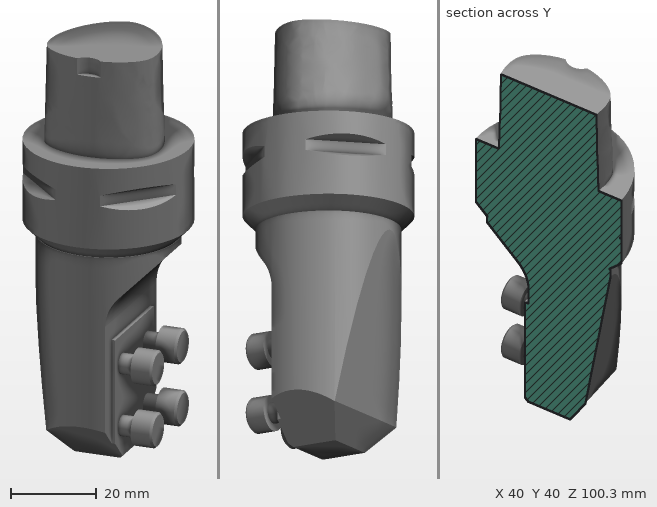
import cadquery as cq
import math

total_height = 100.3
collar_top = 76.4
collar_bottom = 56.4
neck_top = 53.2

collar_radius = 40.0 / 2
neck_radius = 34.0 / 2
cone_end_radius = collar_radius - (collar_bottom - neck_top)

shank_base_radius = 14.0
lobe_size = 1.0
taper_ratio = 1 / 40
shank_points = 48

notch_radius = 3.7
notch_centre_y = -14.5
notch_depth = 4.0

slot_height_z = 68.4
slot_floor_distance = 17.6
slot_floor_width = 2.6
slot_wall_slope = math.tan(math.radians(28))

back_slope_top = 50.7
heel_x = -10.1
heel_z = 7.2
tip_back_x = -5.9
seat_x = 5.6
relief_top = 51.5
relief_corner_radius = 10.0

tip_half_width = 6.5

plate_thickness = 0.9
plate_top = 31.3
plate_width = 24.1
screw_radius = 5.0 / 2
head_radius = 8.5 / 2
head_start_x = 10.3
head_end_x = 15.5
head_chamfer = 0.5
screw_heights = (8.6, 24.1)
screw_offset_y = 7.7


def lobed_point(angle, radius):
    """Point on the three-lobed outline, with one lobe towards +Y."""
    along = radius * math.cos(angle) - 2 * lobe_size * math.cos(2 * angle) + lobe_size * math.cos(4 * angle)
    across = radius * math.sin(angle) + 2 * lobe_size * math.sin(2 * angle) + lobe_size * math.sin(4 * angle)
    return across, -along


def lobed_wire(radius, height):
    points = [lobed_point(2 * math.pi * i / shank_points, radius) for i in range(shank_points)]
    edge = cq.Edge.makeSpline([cq.Vector(x, y, height) for x, y in points], periodic=True)
    return cq.Wire.assembleEdges([edge])


def make_shank():
    shank_top_radius = shank_base_radius - (total_height - collar_top) * taper_ratio
    wires = [lobed_wire(shank_base_radius, collar_top), lobed_wire(shank_top_radius, total_height)]
    notch = (
        cq.Workplane("XY", origin=(0, notch_centre_y, total_height - notch_depth))
        .circle(notch_radius)
        .extrude(notch_depth)
    )
    return cq.Workplane(cq.Solid.makeLoft(wires)).cut(notch)


def make_slot_cutter(angle):
    """Gripper slot with a flat floor and walls that flare outwards."""
    depth = collar_radius - slot_floor_distance
    floor_half = slot_floor_width / 2
    mouth_half = floor_half + depth * slot_wall_slope
    return (
        cq.Workplane("XZ")
        .moveTo(slot_floor_distance, slot_height_z - floor_half)
        .lineTo(collar_radius, slot_height_z - mouth_half)
        .lineTo(collar_radius, slot_height_z + mouth_half)
        .lineTo(slot_floor_distance, slot_height_z + floor_half)
        .close()
        .extrude(collar_radius, both=True)
        .rotate((0, 0, 0), (0, 0, 1), angle)
    )


def make_collar():
    collar = (
        cq.Workplane("XZ")
        .moveTo(0, collar_top)
        .lineTo(collar_radius, collar_top)
        .lineTo(collar_radius, collar_bottom)
        .lineTo(cone_end_radius, neck_top)
        .lineTo(0, neck_top)
        .close()
        .revolve(360, (0, 0, 0), (0, 1, 0))
    )
    for angle in (45, 135, 225, 315):
        collar = collar.cut(make_slot_cutter(angle))
    return collar


def make_neck():
    """Round neck trimmed by its side outline and by the two bottom bevels."""
    relief_corner_z = relief_top - (neck_radius - seat_x)
    tangent = relief_corner_radius * math.tan(math.radians(22.5))
    slope_step = tangent * math.sin(math.radians(45))
    side_outline = (
        cq.Workplane("XZ")
        .moveTo(-neck_radius, neck_top)
        .lineTo(-neck_radius, back_slope_top)
        .lineTo(heel_x, heel_z)
        .lineTo(tip_back_x, 0)
        .lineTo(seat_x, 0)
        .lineTo(seat_x, relief_corner_z - tangent)
        .radiusArc((seat_x + slope_step, relief_corner_z + slope_step), relief_corner_radius)
        .lineTo(neck_radius, relief_top)
        .lineTo(neck_radius, neck_top)
        .close()
        .extrude(neck_radius, both=True)
    )
    return cq.Workplane("XY").circle(neck_radius).extrude(neck_top).intersect(side_outline)


def make_bevel_envelope():
    """Space kept between the two 45 degree bottom bevels."""
    bevel_top = neck_radius - tip_half_width
    return (
        cq.Workplane("YZ")
        .moveTo(-tip_half_width, 0)
        .lineTo(tip_half_width, 0)
        .lineTo(neck_radius, bevel_top)
        .lineTo(neck_radius, neck_top)
        .lineTo(-neck_radius, neck_top)
        .lineTo(-neck_radius, bevel_top)
        .close()
        .extrude(neck_radius, both=True)
    )


def make_plate():
    """Thin seat plate with its lower outer edge bevelled."""
    return (
        cq.Workplane("XZ")
        .moveTo(seat_x, 0)
        .lineTo(seat_x + plate_thickness, plate_thickness)
        .lineTo(seat_x + plate_thickness, plate_top)
        .lineTo(seat_x, plate_top)
        .close()
        .extrude(plate_width / 2, both=True)
    )


def make_screw(y, z):
    shaft = cq.Workplane("YZ", origin=(seat_x, y, z)).circle(screw_radius).extrude(head_start_x - seat_x)
    head = (
        cq.Workplane("YZ", origin=(head_start_x, y, z))
        .circle(head_radius)
        .extrude(head_end_x - head_start_x)
        .faces(">X")
        .chamfer(head_chamfer)
    )
    return shaft.union(head)


lower_body = make_neck().union(make_plate()).intersect(make_bevel_envelope())
result = make_shank().union(make_collar()).union(lower_body)
for screw_z in screw_heights:
    for screw_y in (-screw_offset_y, screw_offset_y):
        result = result.union(make_screw(screw_y, screw_z))